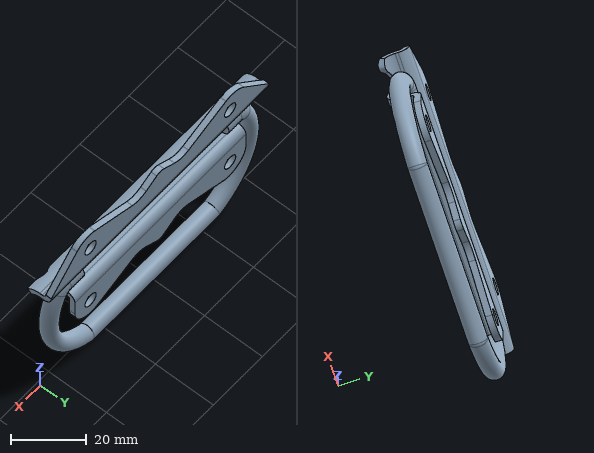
import cadquery as cq
import math

length = 89.0
thickness = 2.0
sleeve_radius = 5.5
sleeve_depth = 9.5
axis_y = sleeve_radius - sleeve_depth
sleeve_bore = sleeve_radius - thickness
upper_bend = 1.2
lower_bend = 0.8
half_length = length / 2
half_body = 34.9

plate_mid_z = 0.2
shoulder_z = 6.8
corner_x, corner_z = 30.9, 20.4
valley_x, valley_z = 8.5, 12.1
peak_z = 16.6
corner_radius = 6.85
valley_radius = 6.9
peak_radius = 3.2
hole_diameter = 4.5
hole_x = 28.5
hole_spacing_z = 25.0

notch_radius = 2.9
notch_s = 1.9
ear_radius = 2.05
arc_points = 9
margin = 0.9

rod_radius = 2.8
side_radius = 23.1
side_x = 17.6
side_z = -13.5
grip_z = -35.2
end_bend = 2.9
pivot_length = 5.3


def sheet_profile():
    """Constant-thickness section: upper plate, sleeve and lower plate."""
    reach = 2 * corner_z
    diagonal = math.sqrt(0.5)

    def bend_middle(radius, centre_y, centre_z, side):
        return (centre_y + radius * diagonal, centre_z - side * radius * diagonal)

    upper_y = -thickness - upper_bend
    upper_z = sleeve_radius + upper_bend
    lower_y = -thickness - lower_bend
    lower_z = -sleeve_radius - lower_bend
    upper_back = upper_bend + thickness
    lower_back = lower_bend + thickness
    return (
        cq.Workplane("YZ", origin=(-half_length, 0, 0))
        .moveTo(0, reach)
        .lineTo(0, upper_z)
        .threePointArc(bend_middle(upper_back, upper_y, upper_z, 1), (upper_y, sleeve_bore))
        .lineTo(axis_y, sleeve_bore)
        .threePointArc((axis_y - sleeve_bore, 0), (axis_y, -sleeve_bore))
        .lineTo(lower_y, -sleeve_bore)
        .threePointArc(bend_middle(lower_back, lower_y, lower_z, -1), (0, lower_z))
        .lineTo(0, -reach)
        .lineTo(-thickness, -reach)
        .lineTo(-thickness, lower_z)
        .threePointArc(bend_middle(lower_bend, lower_y, lower_z, -1), (lower_y, -sleeve_radius))
        .lineTo(axis_y, -sleeve_radius)
        .threePointArc((axis_y - sleeve_radius, 0), (axis_y, sleeve_radius))
        .lineTo(upper_y, sleeve_radius)
        .threePointArc(bend_middle(upper_bend, upper_y, upper_z, 1), (-thickness, upper_z))
        .lineTo(-thickness, reach)
        .close()
        .extrude(length)
    )


def plate_outline():
    """Front outline of the whole bracket, extruded through its depth."""
    slope = (corner_z - valley_z) / (corner_x - valley_x)
    side_corner_z = corner_z + slope * (half_body - corner_x)
    mirror_z = 2 * plate_mid_z
    right_side = [
        (valley_x, valley_z),
        (corner_x, corner_z),
        (half_length, shoulder_z),
        (half_length, 0),
        (half_body, 0),
        (half_body, mirror_z - side_corner_z),
        (valley_x, mirror_z - valley_z),
    ]
    left_side = [(-x, z) for x, z in reversed(right_side)]
    points = [(0, peak_z), *right_side, (0, mirror_z - peak_z), *left_side]
    blank = cq.Workplane("XZ").polyline(points).close().extrude(sleeve_depth)

    def round_corners(body, radius, inner_x, outer_x):
        def chosen(edge):
            centre = edge.Center()
            return inner_x <= abs(centre.x) <= outer_x and abs(centre.z) > shoulder_z + margin

        return body.edges("|Y").filter(chosen).fillet(radius)

    blank = round_corners(blank, peak_radius, 0, margin)
    blank = round_corners(blank, valley_radius, valley_x - margin, valley_x + margin)
    return round_corners(blank, corner_radius, corner_x - margin, half_body + margin)


def end_notch():
    """Left-hand cutter whose walls all run radially towards the sleeve axis."""
    notch_x = -half_body - notch_radius
    ear_x = -half_length + ear_radius
    ear_s = notch_s + math.sqrt((notch_radius + ear_radius) ** 2 - (notch_x - ear_x) ** 2)
    meeting = math.atan2(ear_s - notch_s, ear_x - notch_x)

    def arc(x, s, radius, start, end):
        steps = [start + (end - start) * i / (arc_points - 1) for i in range(arc_points)]
        return [(x + radius * math.cos(a), s + radius * math.sin(a)) for a in steps]

    ear = arc(ear_x, ear_s, ear_radius, math.pi, meeting + math.pi)
    notch = arc(notch_x, notch_s, notch_radius, meeting, 0)
    clear_x = -half_length - margin

    def wire(distance):
        def place(point):
            x, s = point
            return cq.Vector(x, axis_y - distance, distance * math.tan(s / sleeve_radius))

        corners = [notch[-1], (-half_body, 0), (clear_x, 0), (clear_x, ear_s), ear[0]]
        curves = [cq.Edge.makeSpline([place(p) for p in points]) for points in (ear, notch)]
        lines = [cq.Edge.makeLine(place(a), place(b)) for a, b in zip(corners, corners[1:])]
        return cq.Wire.assembleEdges([*curves, *lines])

    return cq.Workplane(cq.Solid.makeLoft([wire(margin), wire(sleeve_depth)], True))


def make_bracket():
    notch = end_notch()
    holes = (
        cq.Workplane("XZ", origin=(0, 0, plate_mid_z))
        .rect(2 * hole_x, hole_spacing_z, forConstruction=True)
        .vertices()
        .circle(hole_diameter / 2)
        .extrude(sleeve_depth)
    )
    bracket = sheet_profile().intersect(plate_outline()).cut(holes)
    return bracket.cut(notch).cut(notch.mirror("YZ"))


def make_side_arm():
    """Left half of the bail: pivot, end bend and side arc down to the grip."""
    bend_z = -end_bend
    bend_x = -side_x - math.sqrt((side_radius - end_bend) ** 2 - (bend_z - side_z) ** 2)
    start_angle = math.atan2(bend_z - side_z, bend_x + side_x)
    end_angle = math.pi - math.asin((grip_z - side_z) / side_radius)

    def on_arc(x, z, radius, angle):
        return (x + radius * math.cos(angle), z + radius * math.sin(angle))

    def side_point(angle):
        return on_arc(-side_x, side_z, side_radius, angle)

    bend_middle = on_arc(bend_x, bend_z, end_bend, (math.pi / 2 + start_angle) / 2)
    path = (
        cq.Workplane("XZ", origin=(0, axis_y, 0))
        .moveTo(bend_x + pivot_length, 0)
        .lineTo(bend_x, 0)
        .threePointArc(bend_middle, side_point(start_angle))
        .threePointArc(side_point((start_angle + end_angle) / 2), side_point(end_angle))
    )
    start = (bend_x + pivot_length, axis_y, 0)
    return cq.Workplane("YZ", origin=start).circle(rod_radius).sweep(path)


def make_bail():
    joint_x = side_x + math.sqrt(side_radius**2 - (grip_z - side_z) ** 2)
    arm = make_side_arm()
    grip = (
        cq.Workplane("YZ", origin=(-joint_x, axis_y, grip_z))
        .circle(rod_radius)
        .extrude(2 * joint_x)
    )
    bail = grip.union(arm).union(arm.mirror("YZ"))
    for x in (-joint_x, joint_x):
        bail = bail.union(cq.Workplane("XY", origin=(x, axis_y, grip_z)).sphere(rod_radius))
    return bail


bracket = make_bracket()
bail = make_bail()
result = cq.Compound.makeCompound([*bracket.solids().vals(), *bail.solids().vals()])